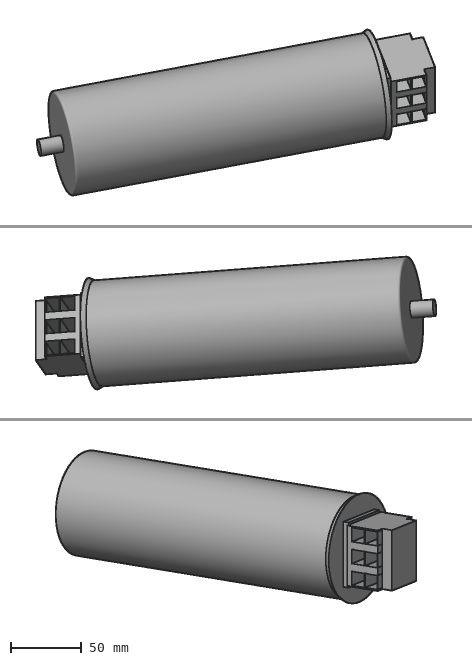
import cadquery as cq


can_radius = 37.8
can_length = 231.8
rim_diameter = 79.5
rim_height = 3.7
base_fillet = 1.7

stud_radius = 6.0
stud_length = 16.5

foot_width = 40.7
foot_depth = 47.8
foot_height = 4.3

body_width = 44.5
block_depth = 44.5
cap_width = 32.0
cap_height = 8.0

opening_size = 10.3
opening_rows = 2
opening_columns = 3
row_wall = 1.0
column_pitch = 16.0
floor_thickness = 4.0
roof_thickness = 0.3

row_pitch = opening_size + row_wall
body_height = floor_thickness + opening_rows * row_pitch - row_wall + roof_thickness

foot_start = can_length
body_start = foot_start + foot_height
cap_start = body_start + body_height


def box_along_y(width, depth, start, height):
    """Box centred on the Y axis: width along X, depth along Z, from start to start + height along Y."""
    return cq.Workplane("XY").box(width, height, depth).translate((0, start + height / 2, 0))


def make_can():
    """Solid of revolution about Y with a rounded base and a conical flared rim."""
    can = (
        cq.Workplane("XY")
        .moveTo(0, 0)
        .lineTo(can_radius, 0)
        .lineTo(can_radius, can_length - rim_height)
        .lineTo(rim_diameter / 2, can_length)
        .lineTo(0, can_length)
        .close()
        .revolve(360, (0, 0, 0), (0, 1, 0))
    )
    return can.faces("<Y").edges().fillet(base_fillet)


def make_stud():
    """Plain round stud standing on the can base."""
    return cq.Workplane("XZ").circle(stud_radius).extrude(stud_length)


def make_terminal_block():
    """Body and cap pierced by the grid of wire openings."""
    body = box_along_y(body_width, block_depth, body_start, body_height)
    cap = box_along_y(cap_width, block_depth, cap_start, cap_height)
    block = body.union(cap)
    opening = box_along_y(body_width, opening_size, body_start + floor_thickness, opening_size)
    for row in range(opening_rows):
        for column in range(opening_columns):
            z_offset = (column - (opening_columns - 1) / 2) * column_pitch
            block = block.cut(opening.translate((0, row * row_pitch, z_offset)))
    return block


foot = box_along_y(foot_width, foot_depth, foot_start, foot_height)
result = make_can().union(make_stud()).union(foot).union(make_terminal_block())